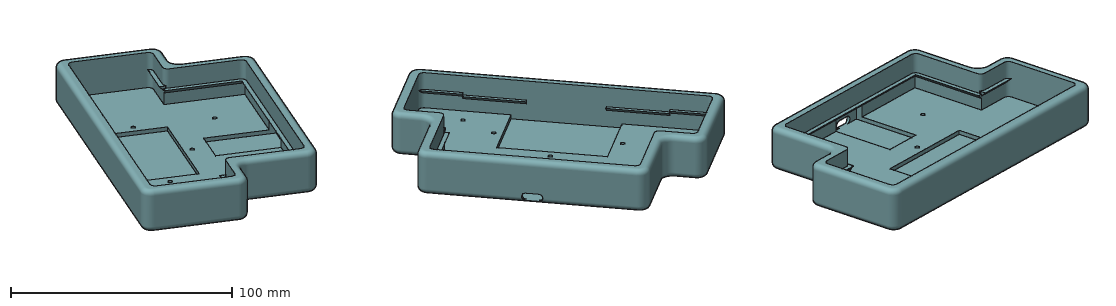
import cadquery as cq
import math

length = 145.35
depth = 88.2
height = 20.6

stem_width = 107.0
shoulder_from_front = 50.0
corner_radius = 5.0
rim_round = 2.5

wall = 5.0
cavity_corner_radius = 2.5
floor_z = 3.0

lip_width = 2.2
front_lip_width = 1.8
stem_lip_z = 11.0
shoulder_lip_z = 12.2
front_lip_inner_x = 18.4
front_lip_step_x = 47.7

pocket_depth = 2.0
front_pocket_width = 51.1
front_pocket_back_y = -4.2
back_pocket_width = 19.2
back_pocket_front_y = 8.2
back_pocket_into_wall = 3.3

slot_width = 9.7
slot_height = 3.8

hole_diameter = 2.0
hole_pairs = [(28.6, 19.0), (29.65, -19.1), (45.9, -29.75)]
center_hole = (0.0, 0.0)

overlap = 1.0

back_y = depth / 2
front_y = -depth / 2
shoulder_y = front_y + shoulder_from_front
pocket_z = floor_z - pocket_depth
slot_z = pocket_z + slot_height / 2
cavity_back_y = back_y - wall
cavity_front_y = front_y + wall
cavity_shoulder_y = shoulder_y - wall
cavity_half_length = length / 2 - wall
cavity_half_stem = stem_width / 2 - wall


def box(x0, x1, y0, y1, z0, z1):
    """Axis-aligned block between two opposite corners."""
    return cq.Workplane("XY").box(x1 - x0, y1 - y0, z1 - z0, centered=False).translate((x0, y0, z0))


def t_prism(inset, z0, z1):
    """Sharp-cornered T prism, offset inwards from the outer outline."""
    half = length / 2 - inset
    half_stem = stem_width / 2 - inset
    body = box(-half, half, front_y + inset, shoulder_y - inset, z0, z1)
    stem = box(-half_stem, half_stem, front_y + inset, back_y - inset, z0, z1)
    return body.union(stem)


def make_shell():
    outer = t_prism(0, 0, height).edges("|Z").fillet(corner_radius)
    outer = outer.faces("<Z or >Z").edges().fillet(rim_round)
    upper_cavity = t_prism(wall, stem_lip_z, height).edges("|Z").fillet(cavity_corner_radius)
    lower_cavity = t_prism(wall, floor_z, stem_lip_z)
    lower_cavity = lower_cavity.edges("|Z and (<X or >X)").fillet(cavity_corner_radius)
    return outer.cut(upper_cavity).cut(lower_cavity)


def lip_profile(plane, wall_position, top_z, reach):
    """Lip section: a 45 degree wedge pointing into the cavity, rooted in the wall."""
    root = wall_position - math.copysign(overlap, reach)
    tip = wall_position + reach
    bottom_z = top_z - abs(reach)
    outline = [(root, top_z), (tip, top_z), (wall_position, bottom_z), (root, bottom_z)]
    return cq.Workplane(plane).polyline(outline).close()


def lip_along_x(x0, x1, wall_y, top_z, reach):
    """Lip on a wall facing +Y or -Y; the sign of reach gives its direction."""
    low, high = sorted((x0, x1))
    return lip_profile("YZ", wall_y, top_z, reach).extrude(high - low).translate((low, 0, 0))


def lip_along_y(y0, y1, wall_x, top_z, reach):
    """Lip on a wall facing +X or -X; the XZ plane extrudes towards -Y."""
    return lip_profile("XZ", wall_x, top_z, reach).extrude(y0 - y1).translate((0, y0, 0))


def make_lips():
    lips = lip_along_x(-cavity_half_stem, cavity_half_stem, cavity_back_y, stem_lip_z, -lip_width)
    for side in (-1, 1):
        reach_x = -side * lip_width
        stem_x = side * cavity_half_stem
        end_x = side * (cavity_half_length + overlap)
        step_x = side * front_lip_step_x
        inner_x = side * front_lip_inner_x
        lips = lips.union(lip_along_y(cavity_shoulder_y, cavity_back_y, stem_x, stem_lip_z, reach_x))
        lips = lips.union(lip_along_x(stem_x, end_x, cavity_shoulder_y, shoulder_lip_z, -lip_width))
        lips = lips.union(lip_along_x(inner_x, step_x, cavity_front_y, stem_lip_z, front_lip_width))
        lips = lips.union(lip_along_x(step_x, end_x, cavity_front_y, shoulder_lip_z, front_lip_width))
    return lips


def make_pockets():
    front_half = front_pocket_width / 2
    front = box(-front_half, front_half, cavity_front_y, front_pocket_back_y, pocket_z, floor_z)
    back_half = back_pocket_width / 2
    recess_y = cavity_back_y + back_pocket_into_wall
    back = box(-back_half, back_half, back_pocket_front_y, recess_y, pocket_z, stem_lip_z - lip_width)
    return front.union(back)


def make_slot():
    """Round-ended slot whose lowest line runs level with the pocket floor."""
    plane = cq.Workplane("XZ", origin=(0, back_y + overlap, slot_z))
    return plane.slot2D(slot_width, slot_height).extrude(wall + 2 * overlap)


def make_holes():
    points = [center_hole]
    for x, y in hole_pairs:
        points += [(x, y), (-x, y)]
    return cq.Workplane("XY").pushPoints(points).circle(hole_diameter / 2).extrude(floor_z)


result = make_shell().union(make_lips()).cut(make_pockets()).cut(make_slot()).cut(make_holes())